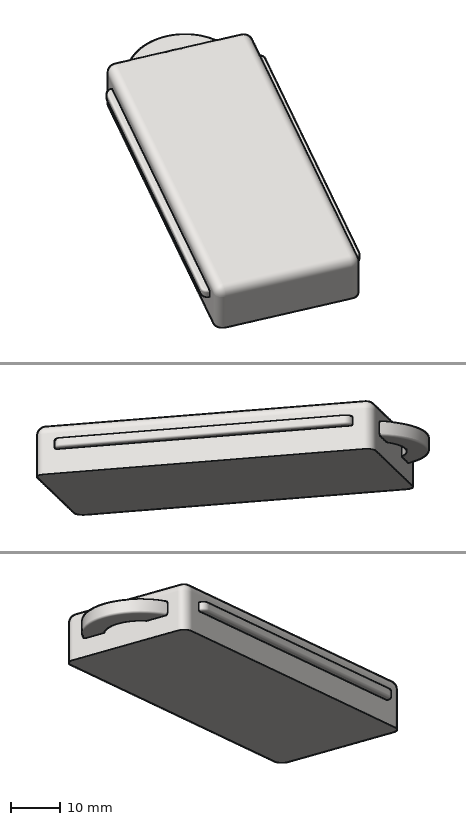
import cadquery as cq

total_length = 78.5
total_width = 34.0
body_length = 71.6
body_width = 31.0
body_height = 10.6
body_round = 2.0

top_of_side_features = 7.15
edge_round = 0.5

rail_length = 63.0
rail_height = 2.05
rail_corner_radius = 1.4

ring_outer_radius = 11.9
ring_inner_radius = 7.4
ring_thickness = 3.15

ring_tip_x = body_length / 2 - total_length
ring_center_x = ring_tip_x + ring_outer_radius
rail_bottom = top_of_side_features - rail_height
ring_bottom = top_of_side_features - ring_thickness


def make_body():
    """Block with rounded upright corners and a rounded top rim; the base stays sharp."""
    block = cq.Workplane("XY").box(body_length, body_width, body_height, centered=(True, True, False))
    return block.edges("|Z or >Z").fillet(body_round)


def make_rails():
    """Rounded slab through the body whose two long sides stand out as rails."""
    slab = (
        cq.Workplane("XY")
        .workplane(offset=rail_bottom)
        .box(rail_length, total_width, rail_height, centered=(True, True, False))
    )
    return slab.edges("|Z").fillet(rail_corner_radius).faces("<Z or >Z").edges().fillet(edge_round)


def make_ring():
    """Flat carrying ring, partly sunk in the body end; rounded outside, sharp around the hole."""
    disc = (
        cq.Workplane("XY")
        .workplane(offset=ring_bottom)
        .center(ring_center_x, 0)
        .circle(ring_outer_radius)
        .extrude(ring_thickness)
        .edges()
        .fillet(edge_round)
    )
    hole = (
        cq.Workplane("XY")
        .workplane(offset=ring_bottom)
        .center(ring_center_x, 0)
        .circle(ring_inner_radius)
        .extrude(ring_thickness)
    )
    return disc.cut(hole)


result = make_body().union(make_rails()).union(make_ring())